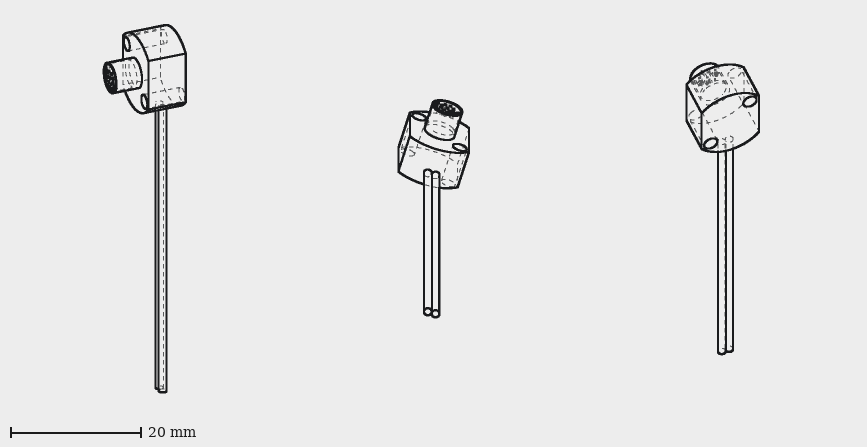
import cadquery as cq
import math

HOUSING_RADIUS = 6.3
HOUSING_WIDTH = 9.5
HOUSING_DEPTH = 6.3

MOUNT_HOLE_RADIUS = 1.1
MOUNT_HOLE_X = 3.25
MOUNT_HOLE_Z = 3.5

SHELL_RADIUS = 2.4
SHELL_WALL = 0.235
SHELL_LENGTH = 4.3
SHELL_FRONT = -SHELL_LENGTH

INSERT_RADIUS = SHELL_RADIUS - SHELL_WALL
INSERT_LENGTH = 3.55

CONTACT_RADIUS = 0.155
CONTACT_DEPTH = 0.6
INNER_RING_RADIUS = 1.05
INNER_RING_COUNT = 8
INNER_RING_START = 17.0
INNER_RING_STEP = 360 / INNER_RING_COUNT
OUTER_RING_RADIUS = 1.8
OUTER_RING_COUNT = 9
OUTER_RING_START = 148.0
OUTER_RING_STEP = 23.3

WIRE_COUNT = 2
WIRE_DIAMETER = 1.2
WIRE_Y = 4.3
OVERALL_HEIGHT = 61.35
WIRE_BOTTOM = HOUSING_RADIUS - OVERALL_HEIGHT


def cylinder_along_y(radius, front, length):
    """Cylinder on the connector axis, from its front end backwards."""
    return cq.Workplane("XZ", origin=(0, front, 0)).circle(radius).extrude(-length)


def ring_points(radius, count, start, step):
    """Points on a circle, with the start and step angles in degrees."""
    angles = [math.radians(start + i * step) for i in range(count)]
    return [(radius * math.cos(a), radius * math.sin(a)) for a in angles]


def make_housing():
    block = cylinder_along_y(HOUSING_RADIUS, 0, HOUSING_DEPTH)
    flats = cq.Workplane("XY").box(HOUSING_WIDTH, 2 * HOUSING_DEPTH, 2 * HOUSING_RADIUS)
    hole_centres = [(-MOUNT_HOLE_X, MOUNT_HOLE_Z), (MOUNT_HOLE_X, -MOUNT_HOLE_Z)]
    holes = (
        cq.Workplane("XZ")
        .pushPoints(hole_centres)
        .circle(MOUNT_HOLE_RADIUS)
        .extrude(-HOUSING_DEPTH)
    )
    return block.intersect(flats).cut(holes)


def make_shell():
    body = cylinder_along_y(SHELL_RADIUS, SHELL_FRONT, SHELL_LENGTH)
    cavity = cylinder_along_y(INSERT_RADIUS, SHELL_FRONT, INSERT_LENGTH)
    return body.cut(cavity)


def make_insert():
    body = cylinder_along_y(INSERT_RADIUS, SHELL_FRONT, INSERT_LENGTH)
    inner_ring = ring_points(INNER_RING_RADIUS, INNER_RING_COUNT, INNER_RING_START, INNER_RING_STEP)
    outer_ring = ring_points(OUTER_RING_RADIUS, OUTER_RING_COUNT, OUTER_RING_START, OUTER_RING_STEP)
    holes = (
        cq.Workplane("XZ", origin=(0, SHELL_FRONT, 0))
        .pushPoints([(0, 0)] + inner_ring + outer_ring)
        .circle(CONTACT_RADIUS)
        .extrude(-CONTACT_DEPTH)
    )
    return body.cut(holes)


def make_wire(x):
    """Wire at the given X, its top end shaped to the curved underside of the housing."""
    rod = (
        cq.Workplane("XY", origin=(x, WIRE_Y, 0))
        .circle(WIRE_DIAMETER / 2)
        .extrude(WIRE_BOTTOM)
    )
    return rod.cut(cylinder_along_y(HOUSING_RADIUS, 0, HOUSING_DEPTH))


housing = make_housing()
shell = make_shell()
insert = make_insert()
wires = []
for i in range(WIRE_COUNT):
    wire_x = (i - (WIRE_COUNT - 1) / 2) * WIRE_DIAMETER
    wires.append(make_wire(wire_x).val())

result = cq.Compound.makeCompound([housing.val(), shell.val(), insert.val(), *wires])